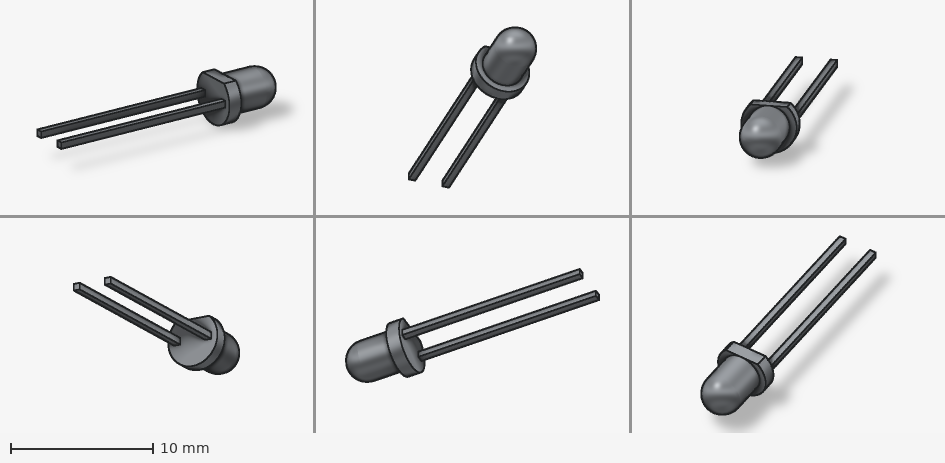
import cadquery as cq

total_length = 19.0
flange_diameter = 4.0
flange_thickness = 1.0
lens_diameter = 3.0
lens_straight_length = 2.5
lead_side = 0.5
lead_spacing = 2.53

lens_radius = lens_diameter / 2
flange_radius = flange_diameter / 2
lens_base = flange_thickness
dome_base = lens_base + lens_straight_length
dome_tip = dome_base + lens_radius
lead_length = total_length - dome_tip


def make_flange():
    """Round flange with a flat on top, level with the top of the lens."""
    flange = cq.Workplane("XZ").circle(flange_radius).extrude(-flange_thickness)
    keep_height = flange_radius + lens_radius
    below_flat = (
        cq.Workplane("XY")
        .box(flange_diameter, flange_thickness, keep_height, centered=(True, False, False))
        .translate((0, 0, -flange_radius))
    )
    return flange.intersect(below_flat)


def make_lens():
    """Cylinder ending in a hemispherical dome, revolved about the Y axis."""
    dome_middle = lens_radius * 0.5 ** 0.5
    return (
        cq.Workplane("XY")
        .moveTo(0, lens_base)
        .lineTo(lens_radius, lens_base)
        .lineTo(lens_radius, dome_base)
        .threePointArc((dome_middle, dome_base + dome_middle), (0, dome_tip))
        .close()
        .revolve(360, (0, 0, 0), (0, 1, 0))
    )


def make_housing():
    """Flange and domed lens moulded as one body."""
    return make_flange().union(make_lens())


def make_lead(x_center):
    """Straight square lead that starts on the back face of the flange."""
    return cq.Workplane("XZ").center(x_center, 0).rect(lead_side, lead_side).extrude(lead_length)


housing = make_housing()
leads = [make_lead(side * lead_spacing / 2) for side in (-1, 1)]

result = cq.Compound.makeCompound([housing.val(), *[lead.val() for lead in leads]])